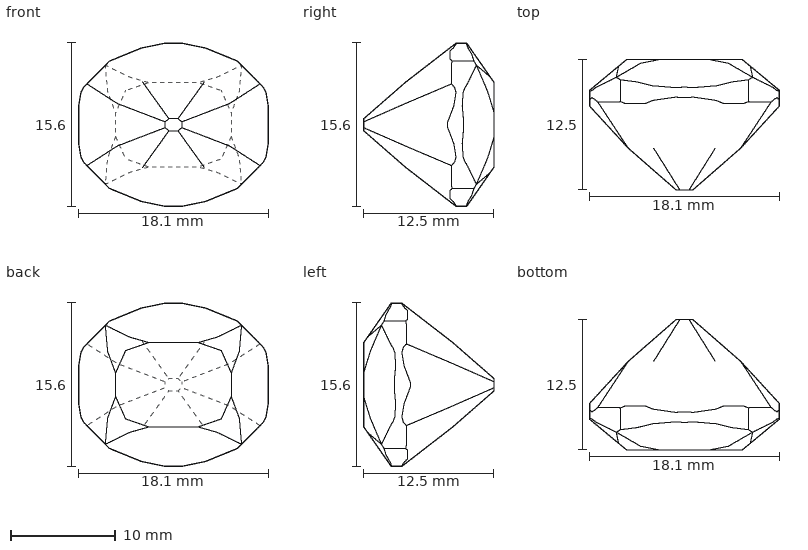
import cadquery as cq

LENGTH = 18.13
WIDTH = 15.61
DEPTH = 12.47
HALF_LENGTH = LENGTH / 2
HALF_WIDTH = WIDTH / 2
CUTTER_SIZE = 3 * LENGTH
INNER_POINT = cq.Vector(0, DEPTH / 2, 0)
QUADRANTS = [(1, 1), (-1, 1), (-1, -1), (1, -1)]
X_ENDS = [(1, 1), (-1, 1)]
Z_SIDES = [(1, 1), (1, -1)]

CORNER_START = (8.6, 3.57)
CORNER_END = (6.11, 6.1)
SIDE_BEND = (3.05, 7.35)
GIRDLE = [
    (HALF_LENGTH, 1.81),
    (8.85, 3.08),
    CORNER_START,
    CORNER_END,
    SIDE_BEND,
    (0.8, HALF_WIDTH),
]


def on_girdle(x, y, start, end):
    """Point at x and height y on the girdle face between two outline points."""
    fraction = (x - start[0]) / (end[0] - start[0])
    return (x, y, start[1] + fraction * (end[1] - start[1]))


def mirrored_x(point):
    return (-point[0], point[1], point[2])


def mirrored_z(point):
    return (point[0], point[1], -point[2])


def plane_normal(points):
    first, second, third = [cq.Vector(*point) for point in points]
    return (second - first).cross(third - first).normalized()


def cut_facet(gem, points, copies):
    """Cut away everything outside the plane through three points, once per mirrored copy."""
    for x_sign, z_sign in copies:
        corners = [(x_sign * x, y, z_sign * z) for x, y, z in points]
        normal = plane_normal(corners)
        if normal.dot(cq.Vector(*corners[0]) - INNER_POINT) < 0:
            normal = -normal
        plane = cq.Plane(origin=corners[0], normal=normal.toTuple())
        cutter = cq.Workplane(plane).rect(CUTTER_SIZE, CUTTER_SIZE).extrude(CUTTER_SIZE)
        gem = gem.cut(cutter)
    return gem


def girdle_prism():
    """Upright blank with the girdle outline, reaching from culet to table."""
    outline = []
    for x_sign, z_sign in QUADRANTS:
        quarter = [(x_sign * x, z_sign * z) for x, z in GIRDLE]
        outline += quarter if x_sign == z_sign else quarter[::-1]
    return cq.Workplane("XZ").polyline(outline).close().extrude(-DEPTH)


def cut_pavilion(gem):
    """Facets between the culet and the girdle, in two tiers."""
    ring_height = 3.99
    ring_side = (2.94, ring_height, 4.06)
    ring_end = (5.37, ring_height, 2.03)
    culet_side = (0.44, 0, 0.58)
    culet_end = (0.8, 0, 0.3)
    side_tip = (0.42, 8.83, HALF_WIDTH)
    bend_height = 8.27
    bend_inner = on_girdle(3.73, bend_height, CORNER_END, SIDE_BEND)
    bend_outer = on_girdle(5.64, bend_height, CORNER_END, SIDE_BEND)
    corner_height = 8.4
    corner_side = on_girdle(6.42, corner_height, CORNER_START, CORNER_END)
    corner_end = on_girdle(8.27, corner_height, CORNER_START, CORNER_END)
    end_tip = (HALF_LENGTH, 8.01, 0.24)

    gem = cut_facet(gem, [ring_side, mirrored_x(ring_side), culet_side], Z_SIDES)
    gem = cut_facet(gem, [ring_side, ring_end, culet_side], QUADRANTS)
    gem = cut_facet(gem, [ring_end, mirrored_z(ring_end), culet_end], X_ENDS)

    gem = cut_facet(gem, [ring_side, mirrored_x(ring_side), side_tip], Z_SIDES)
    gem = cut_facet(gem, [ring_side, side_tip, bend_inner], QUADRANTS)
    gem = cut_facet(gem, [ring_side, bend_inner, bend_outer], QUADRANTS)
    gem = cut_facet(gem, [ring_side, ring_end, corner_side], QUADRANTS)
    gem = cut_facet(gem, [ring_end, corner_side, corner_end], QUADRANTS)
    gem = cut_facet(gem, [ring_end, corner_end, end_tip], QUADRANTS)
    return cut_facet(gem, [ring_end, mirrored_z(ring_end), end_tip], X_ENDS)


def cut_crown(gem):
    """Facets between the girdle and the table."""
    star_side = (4.19, 12.11, 4.55)
    star_end = (6.3, 11.84, 3.19)
    corner_side = on_girdle(6.5, 10.77, CORNER_START, CORNER_END)
    corner_end = on_girdle(8.45, 9.8, CORNER_START, CORNER_END)
    bend_point = on_girdle(4.57, 10.33, CORNER_END, SIDE_BEND)
    side_tip = (0, 9.85, HALF_WIDTH)
    end_tip = (HALF_LENGTH, 9.54, 0.49)
    table_side = (2.27, DEPTH, 4.06)
    table_end = (5.5, DEPTH, 1.2)
    kite = [star_side, corner_side, star_end]
    tilt = plane_normal(kite)
    table_x = 4.57
    rise = tilt.x * (table_x - star_side[0]) + tilt.y * (DEPTH - star_side[1])
    table_corner = (table_x, DEPTH, star_side[2] - rise / tilt.z)

    gem = cut_facet(gem, [star_side, mirrored_x(star_side), side_tip], Z_SIDES)
    gem = cut_facet(gem, kite, QUADRANTS)
    gem = cut_facet(gem, [star_end, mirrored_z(star_end), end_tip], X_ENDS)

    gem = cut_facet(gem, [star_side, side_tip, bend_point], QUADRANTS)
    gem = cut_facet(gem, [star_side, bend_point, corner_side], QUADRANTS)
    gem = cut_facet(gem, [star_end, corner_side, corner_end], QUADRANTS)
    gem = cut_facet(gem, [star_end, corner_end, end_tip], QUADRANTS)

    gem = cut_facet(gem, [star_side, table_side, table_corner], QUADRANTS)
    return cut_facet(gem, [star_end, table_corner, table_end], QUADRANTS)


result = cut_crown(cut_pavilion(girdle_prism()))